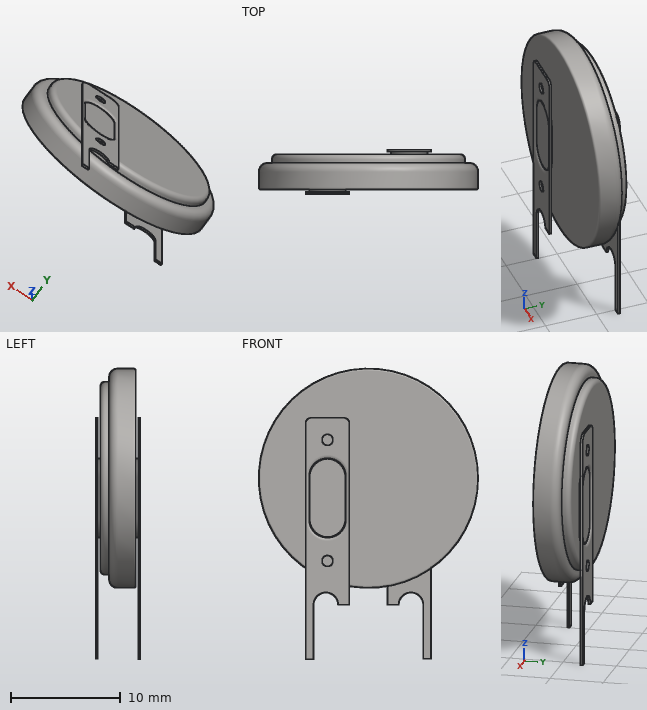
import cadquery as cq
import math

CAN_RADIUS = 10.01
CAN_LENGTH = 2.45
CAN_FRONT_FILLET = 0.2
CAN_BACK_FILLET = 0.8
CAP_RADIUS = 8.82
CAP_LENGTH = 0.8
CAP_FILLET = 0.48
CELL_LENGTH = CAN_LENGTH + CAP_LENGTH

TAB_THICKNESS = 0.2
TAB_GAP = 0.2
TAB_WIDTH = 4.0
TAB_CENTER_X = 3.73
TAB_TOP_Z = 5.5
FRONT_PIN_TIP_Z = -16.51
BACK_PIN_TIP_Z = -16.47
FRONT_CORNER_RADIUS = 0.5
BACK_CORNER_RADIUS = 0.9

FOOT_Z = -11.54
NOTCH_RADIUS = 1.11
PIN_WIDTH = 0.74

DIMPLE_CENTER_Z = -1.8
DIMPLE_STRAIGHT = 3.88
DIMPLE_RIM_RADIUS = 1.98
DIMPLE_FLOOR_RADIUS = 1.62
DIMPLE_DEPTH = 0.19
PAD_RADIUS = 1.68

HOLE_DIAMETER = 1.0
HOLE_CENTER_Z = -2.02
HOLE_OFFSET_Z = 5.52


def make_cell():
    """Can with a rounded shoulder, and the narrower cap standing on its back."""
    can = cq.Workplane("XZ").circle(CAN_RADIUS).extrude(-CAN_LENGTH)
    can = can.faces("<Y").edges().fillet(CAN_FRONT_FILLET)
    can = can.faces(">Y").edges().fillet(CAN_BACK_FILLET)
    cap = cq.Workplane("XZ", origin=(0, CAN_LENGTH, 0)).circle(CAP_RADIUS).extrude(-CAP_LENGTH)
    cap = cap.faces(">Y").edges().fillet(CAP_FILLET)
    return can.union(cap)


def make_blank(pin_tip_z, corner_radius):
    """Flat tab centred on X = 0, outer face at Y = 0, thickness towards +Y, pin on the -X side."""
    left = -TAB_WIDTH / 2
    right = TAB_WIDTH / 2
    notch_left = left + PIN_WIDTH
    notch_center = notch_left + NOTCH_RADIUS
    notch_right = notch_center + NOTCH_RADIUS
    blank = (
        cq.Workplane("XZ")
        .moveTo(left, TAB_TOP_Z)
        .lineTo(left, pin_tip_z)
        .lineTo(notch_left, pin_tip_z)
        .lineTo(notch_left, FOOT_Z)
        .threePointArc((notch_center, FOOT_Z + NOTCH_RADIUS), (notch_right, FOOT_Z))
        .lineTo(right, FOOT_Z)
        .lineTo(right, TAB_TOP_Z)
        .close()
        .extrude(-TAB_THICKNESS)
    )
    top_corners = blank.faces(">Z").edges("|Y")
    return top_corners.fillet(corner_radius)


def make_dimple_cutter():
    """Slot-shaped recess whose wall rolls over from the outer face down to the floor."""
    roll_width = DIMPLE_RIM_RADIUS - DIMPLE_FLOOR_RADIUS
    roll_radius = (roll_width**2 + DIMPLE_DEPTH**2) / (2 * DIMPLE_DEPTH)
    roll_half_angle = math.asin(roll_width / roll_radius) / 2
    roll_middle = (
        DIMPLE_RIM_RADIUS - roll_radius * math.sin(roll_half_angle),
        roll_radius * (1 - math.cos(roll_half_angle)),
    )

    def half_profile(end_z):
        return (
            cq.Workplane("XY", origin=(0, 0, end_z))
            .lineTo(DIMPLE_RIM_RADIUS, 0)
            .threePointArc(roll_middle, (DIMPLE_FLOOR_RADIUS, DIMPLE_DEPTH))
            .lineTo(0, DIMPLE_DEPTH)
            .close()
        )

    lower_z = DIMPLE_CENTER_Z - DIMPLE_STRAIGHT / 2
    upper_z = DIMPLE_CENTER_Z + DIMPLE_STRAIGHT / 2
    half_channel = half_profile(lower_z).extrude(DIMPLE_STRAIGHT)
    cutter = half_channel.union(half_channel.mirror("YZ"))
    for end_z in (lower_z, upper_z):
        cutter = cutter.union(half_profile(end_z).revolve(360, (0, 0, 0), (0, 1, 0)))
    return cutter


def make_pad():
    """Underside of the dimple, bridging the gap between the tab and the cell."""
    return (
        cq.Workplane("XZ", origin=(0, TAB_THICKNESS, DIMPLE_CENTER_Z))
        .slot2D(DIMPLE_STRAIGHT + 2 * PAD_RADIUS, 2 * PAD_RADIUS, 90)
        .extrude(-TAB_GAP)
    )


def make_tab(pin_tip_z, corner_radius):
    """Complete tab, placed against the front face of the cell on the -X side."""
    holes = (
        cq.Workplane("XZ", origin=(0, 0, HOLE_CENTER_Z))
        .pushPoints([(0, -HOLE_OFFSET_Z), (0, HOLE_OFFSET_Z)])
        .circle(HOLE_DIAMETER / 2)
        .extrude(-TAB_THICKNESS)
    )
    tab = make_blank(pin_tip_z, corner_radius).cut(holes)
    tab = tab.union(make_pad()).cut(make_dimple_cutter())
    return tab.translate((-TAB_CENTER_X, -TAB_THICKNESS - TAB_GAP, 0))


front_tab = make_tab(FRONT_PIN_TIP_Z, FRONT_CORNER_RADIUS)
back_tab = make_tab(BACK_PIN_TIP_Z, BACK_CORNER_RADIUS)
back_tab = back_tab.rotate((0, 0, 0), (0, 0, 1), 180).translate((0, CELL_LENGTH, 0))

result = make_cell().union(front_tab).union(back_tab)